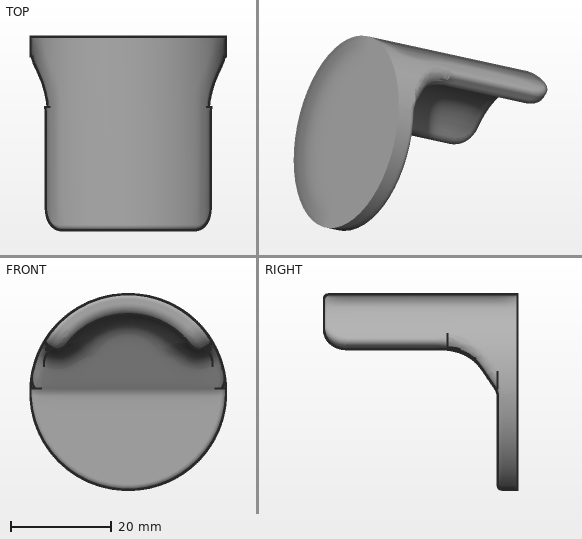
import cadquery as cq
import math

outer_radius = 19.5
hood_wall = 4.0
disc_thickness = 4.0
overall_depth = 38.6
hood_edge_angle = 30.2
ramp_lean = 34.0
ramp_blend = 9.0
ramp_foot_radius = 2.6
tip_corner_radius = 4.7
inner_edge_round = 2.0
outer_edge_round = 1.0
flank_round = 2.0
flank_end = -14.0
root_length = 22.0

inner_radius = outer_radius - hood_wall
disc_front = -disc_thickness
root_end = -root_length
tip = -overall_depth
edge_angle = math.radians(hood_edge_angle)
lean = math.radians(ramp_lean)
foot_tangent = ramp_foot_radius * math.tan(lean / 2)
foot_top = foot_tangent * math.cos(lean)
reach = 2 * outer_radius
tolerance = 0.001


def make_cylinder(radius, y_start, y_end):
    return cq.Workplane("XZ", origin=(0, y_start, 0)).circle(radius).extrude(y_start - y_end)


def make_space_below_hood(y_start, y_end):
    """Bore of the hood joined to everything below its two radial side faces."""
    side_height = reach * math.tan(edge_angle)
    below_sides = (
        cq.Workplane("XZ", origin=(0, y_start, 0))
        .moveTo(0, 0)
        .lineTo(reach, side_height)
        .lineTo(reach, -reach)
        .lineTo(-reach, -reach)
        .lineTo(-reach, side_height)
        .close()
        .extrude(y_start - y_end)
    )
    return below_sides.union(make_cylinder(inner_radius, y_start, y_end))


def ramp_y(z):
    """Y of the ramp plane at height z; the plane meets the disc front at z = 0."""
    return disc_front - z * math.tan(lean)


def close_front_region(outline):
    """Finish a side outline that has reached the top of the ramp, and extrude it across the part."""
    return (
        outline.lineTo(ramp_y(reach), reach)
        .lineTo(tip - reach, reach)
        .lineTo(tip - reach, -reach)
        .close()
        .extrude(2 * reach, both=True)
    )


def make_front_of_disc_and_ramp():
    arc_middle_y = disc_front - ramp_foot_radius * (1 - math.cos(lean / 2))
    arc_middle_z = ramp_foot_radius * math.sin(lean / 2) - foot_tangent
    outline = (
        cq.Workplane("YZ")
        .moveTo(disc_front, -reach)
        .lineTo(disc_front, -foot_tangent)
        .threePointArc((arc_middle_y, arc_middle_z), (ramp_y(foot_top), foot_top))
    )
    return close_front_region(outline)


def make_front_of_ramp_plane():
    return close_front_region(cq.Workplane("YZ").moveTo(ramp_y(-reach), -reach))


def blend_ramp(opening):
    """Round the edges where the ramp plane meets the underside of the hood."""
    ramp_normal = cq.Vector(0, math.cos(lean), math.sin(lean))
    ramp = opening.faces(cq.selectors.ParallelDirSelector(ramp_normal))
    edges = []
    for edge in ramp.edges().vals():
        center = edge.Center()
        if abs(center.x) < reach - tolerance and center.z > foot_top + tolerance:
            edges.append(edge)
    return opening.newObject(edges).fillet(ramp_blend)


def edges_on_radius(body, radius, y_min, y_max):
    """Edges lying on a cylinder about the Y axis, with their middles between two Y values."""
    edges = []
    for edge in body.edges().vals():
        points = [edge.positionAt(t) for t in (0.1, 0.5, 0.9)]
        on_cylinder = all(abs(math.hypot(p.x, p.z) - radius) < tolerance for p in points)
        if on_cylinder and y_min + tolerance < points[1].y < y_max - tolerance:
            edges.append(edge)
    return body.newObject(edges)


def make_root():
    """Disc, ramp and start of the hood, with rounded edges."""
    space = make_space_below_hood(0, tip)
    space = edges_on_radius(space, inner_radius, tip, 0).fillet(inner_edge_round)
    opening = blend_ramp(space.intersect(make_front_of_disc_and_ramp()))
    root = make_cylinder(outer_radius, 0, root_end).cut(opening)
    return edges_on_radius(root, outer_radius, root_end, 0).fillet(outer_edge_round)


def make_flank_trims():
    """Slivers to remove for the heavier rounding along the outer edges of the ramp."""
    space = make_space_below_hood(reach, tip)
    opening = blend_ramp(space.intersect(make_front_of_ramp_plane()))
    sharp = make_cylinder(outer_radius, reach, root_end).cut(opening)
    rounded = edges_on_radius(sharp, outer_radius, root_end, reach).fillet(flank_round)
    ramp_zone = (
        cq.Workplane("XY", origin=(0, (disc_front + flank_end) / 2, foot_top))
        .rect(2 * reach, disc_front - flank_end)
        .extrude(outer_radius)
    )
    return sharp.cut(rounded).intersect(ramp_zone)


def make_hood():
    """Rest of the hood, with rounded corners and edges at the tip."""
    hood = make_cylinder(outer_radius, root_end, tip).cut(make_space_below_hood(0, tip))
    hood = hood.faces("<Y").edges("%LINE").fillet(tip_corner_radius)
    hood = edges_on_radius(hood, outer_radius, tip - reach, root_end).fillet(outer_edge_round)
    return edges_on_radius(hood, inner_radius, tip - reach, root_end).fillet(inner_edge_round)


result = make_root().cut(make_flank_trims()).union(make_hood()).solids()